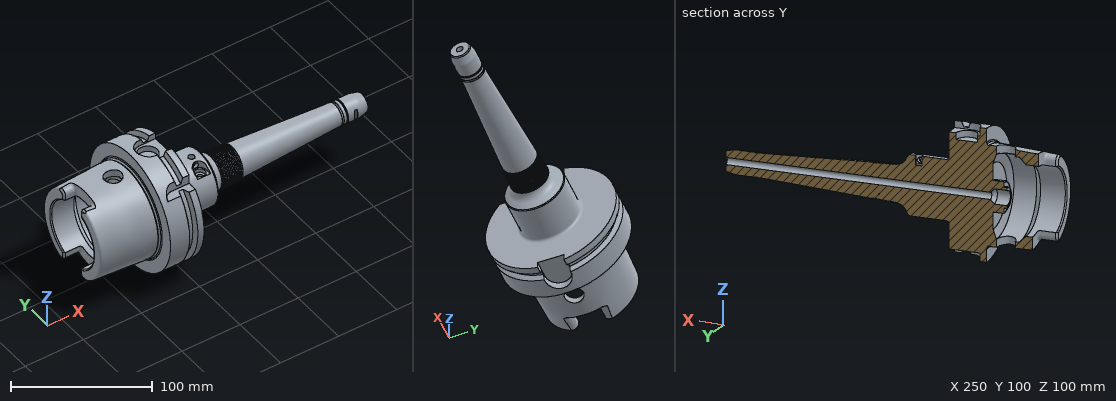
import cadquery as cq
import math

TOTAL_LENGTH = 250.0

SHANK_LENGTH = 50.0
SHANK_TIP_RADIUS = 35.8
SHANK_ROOT_RADIUS = 38.0
SHANK_RIM_FILLET = 2.0
UNDERCUT_START = 47.5
UNDERCUT_RADIUS = 37.5
UNDERCUT_BEVEL = 0.8
UNDERCUT_FILLET = 1.2
UNDERCUT_RIM_RADIUS = 39.8

BORE_RADIUS = 26.5
BORE_CHAMFER = 1.0
BORE_STRAIGHT_DEPTH = 20.0
CLAMP_GROOVE_RADIUS = 31.5
CLAMP_GROOVE_END = 42.5
BORE_DEPTH = 45.0
BORE_FLOOR_RADIUS = 24.5

TUBE_START = 34.2
TUBE_RADIUS = 8.0
TUBE_CHAMFER = 0.5
TUBE_COLLAR_START = 36.5
TUBE_COLLAR_RADIUS = 12.0
TUBE_COLLAR_CHAMFER = 0.8
TUBE_BORE_RADIUS = 5.5
TUBE_BORE_DEPTH = 10.0
CHANNEL_RADIUS = 2.5

DRIVE_SLOT_WIDTH = 20.0
DRIVE_SLOT_FLAT_HEIGHT = 32.2
DRIVE_SLOT_LIP_RADIUS = 4.2
DRIVE_SLOT_FLOOR_FILLET = 2.0
DRIVE_SLOT_MOUTH_CHAMFER = 1.5
UPPER_SLOT_DEPTH = 10.2
LOWER_SLOT_DEPTH = 15.0

CROSS_HOLE_DIAMETER = 14.0
CROSS_HOLE_X = 35.2

FLANGE_RADIUS = 50.0
FLANGE_WIDTH = 29.0
FLANGE_END = SHANK_LENGTH + FLANGE_WIDTH
GROOVE_CENTER = SHANK_LENGTH + 20.0
GROOVE_FLOOR_RADIUS = 46.2
GROOVE_FLOOR_WIDTH = 3.5
GROOVE_MOUTH_WIDTH = 7.0

KEYWAY_WIDTH = 20.0
KEYWAY_CENTER_X = 65.2
KEYWAY_FLOOR = 43.8
CHIP_HOLE_DIAMETER = 16.0
CHIP_HOLE_DEPTH = 5.0

NOTCH_OFFSET = 31.2
NOTCH_START = 55.5
NOTCH_CORNER_RADIUS = 8.5

NECK_RADIUS = 23.0
NECK_FILLET = 2.2
NECK_END = 109.5
SHOULDER_TOP_X = 110.2
SHOULDER_TOP_RADIUS = 22.5
SHOULDER_ARC_X = 112.0
SHOULDER_ARC_START_RADIUS = 19.5

SCREW_X = 102.0
SCREW_Y = -11.8
SEAT_DIAMETER = 11.0
SEAT_FLOOR = 15.8
SCREW_HOLE_DIAMETER = 8.5
SCREW_HOLE_FLOOR = 12.5
SOCKET_DIAMETER = 4.0
SOCKET_FLOOR = 10.5
LINK_HOLE_DIAMETER = 4.5
LINK_HOLE_Z = 18.5

PIN_HOLE_DIAMETER = 5.0
PIN_HOLE_Y = -1.0
PIN_HOLE_FLOOR = 15.8

STEM_START = 119.0
STEM_ROOT_RADIUS = 14.8
STEM_TAPER_END = 221.8
STEM_TIP_RADIUS = 9.5
NOSE_START = 242.5
NOSE_RADIUS = 8.0
NOSE_CHAMFER = 0.8

RING_COUNT = 8
RING_PITCH = 2.5
RING_WIDTH = 1.2
RING_DEPTH = 0.5
TIP_RINGS = ((226.2, 1.5), (230.5, 1.0))
TIP_RING_DEPTH = 0.2

RELIEF_START = 236.5
RELIEF_END = 239.5
RELIEF_DEPTH = 1.0


def revolve_x(profile):
    """Revolve a profile drawn as (x, radius) a full turn about the X axis."""
    return profile.close().revolve(360, (0, 0, 0), (1, 0, 0))


def ring(start, width, inner_radius, outer_radius):
    """Square-sided ring around the X axis."""
    tube = cq.Workplane("YZ", origin=(start, 0, 0)).circle(outer_radius).circle(inner_radius)
    return tube.extrude(width)


def vertical_hole(x, y, diameter, floor):
    """Blind hole from above down to the given floor height."""
    return cq.Workplane("XY", origin=(x, y, floor)).circle(diameter / 2).extrude(FLANGE_RADIUS - floor)


def stem_radius(x):
    """Radius of the tapered stem at position x."""
    slope = (STEM_TIP_RADIUS - STEM_ROOT_RADIUS) / (STEM_TAPER_END - STEM_START)
    return STEM_ROOT_RADIUS + slope * (x - STEM_START)


def make_body():
    undercut_floor = UNDERCUT_START + UNDERCUT_BEVEL
    groove_floor = GROOVE_FLOOR_WIDTH / 2
    groove_mouth = GROOVE_MOUTH_WIDTH / 2
    arc_run = STEM_START - SHOULDER_ARC_X
    arc_drop = SHOULDER_ARC_START_RADIUS - STEM_ROOT_RADIUS
    shoulder_arc = (arc_run**2 + arc_drop**2) / (2 * arc_drop)
    profile = (
        cq.Workplane("XY")
        .moveTo(0, 0)
        .lineTo(0, SHANK_TIP_RADIUS - SHANK_RIM_FILLET)
        .radiusArc((SHANK_RIM_FILLET, SHANK_TIP_RADIUS), SHANK_RIM_FILLET)
        .lineTo(UNDERCUT_START, SHANK_ROOT_RADIUS)
        .lineTo(undercut_floor, UNDERCUT_RADIUS)
        .radiusArc((undercut_floor + UNDERCUT_FILLET, UNDERCUT_RADIUS + UNDERCUT_FILLET), -UNDERCUT_FILLET)
        .lineTo(SHANK_LENGTH, UNDERCUT_RIM_RADIUS)
        .lineTo(SHANK_LENGTH, FLANGE_RADIUS)
        .lineTo(GROOVE_CENTER - groove_mouth, FLANGE_RADIUS)
        .lineTo(GROOVE_CENTER - groove_floor, GROOVE_FLOOR_RADIUS)
        .lineTo(GROOVE_CENTER + groove_floor, GROOVE_FLOOR_RADIUS)
        .lineTo(GROOVE_CENTER + groove_mouth, FLANGE_RADIUS)
        .lineTo(FLANGE_END, FLANGE_RADIUS)
        .lineTo(FLANGE_END, NECK_RADIUS + NECK_FILLET)
        .radiusArc((FLANGE_END + NECK_FILLET, NECK_RADIUS), -NECK_FILLET)
        .lineTo(NECK_END, NECK_RADIUS)
        .lineTo(SHOULDER_TOP_X, SHOULDER_TOP_RADIUS)
        .lineTo(SHOULDER_ARC_X, SHOULDER_ARC_START_RADIUS)
        .radiusArc((STEM_START, STEM_ROOT_RADIUS), -shoulder_arc)
        .lineTo(STEM_TAPER_END, STEM_TIP_RADIUS)
        .lineTo(NOSE_START, STEM_TIP_RADIUS)
        .lineTo(TOTAL_LENGTH - NOSE_CHAMFER, NOSE_RADIUS)
        .lineTo(TOTAL_LENGTH, NOSE_RADIUS - NOSE_CHAMFER)
        .lineTo(TOTAL_LENGTH, 0)
    )
    return revolve_x(profile)


def make_cavity():
    """Hollow of the shank: bore, wider clamping groove and sloped floor edge."""
    return revolve_x(
        cq.Workplane("XY")
        .moveTo(0, 0)
        .lineTo(0, BORE_RADIUS + BORE_CHAMFER)
        .lineTo(BORE_CHAMFER, BORE_RADIUS)
        .lineTo(BORE_STRAIGHT_DEPTH, BORE_RADIUS)
        .lineTo(BORE_STRAIGHT_DEPTH + CLAMP_GROOVE_RADIUS - BORE_RADIUS, CLAMP_GROOVE_RADIUS)
        .lineTo(CLAMP_GROOVE_END, CLAMP_GROOVE_RADIUS)
        .lineTo(BORE_DEPTH, BORE_FLOOR_RADIUS)
        .lineTo(BORE_DEPTH, 0)
    )


def make_tube():
    """Coolant tube with its collar, rooted just below the cavity floor."""
    root = BORE_DEPTH + 2.5
    return revolve_x(
        cq.Workplane("XY")
        .moveTo(TUBE_START, 0)
        .lineTo(TUBE_START, TUBE_RADIUS - TUBE_CHAMFER)
        .lineTo(TUBE_START + TUBE_CHAMFER, TUBE_RADIUS)
        .lineTo(TUBE_COLLAR_START, TUBE_RADIUS)
        .lineTo(TUBE_COLLAR_START, TUBE_COLLAR_RADIUS - TUBE_COLLAR_CHAMFER)
        .lineTo(TUBE_COLLAR_START + TUBE_COLLAR_CHAMFER, TUBE_COLLAR_RADIUS)
        .lineTo(root, TUBE_COLLAR_RADIUS)
        .lineTo(root, 0)
    )


def make_channel():
    """Tube bore that funnels down to the coolant channel through the stem."""
    funnel_start = TUBE_START + TUBE_BORE_DEPTH
    funnel_end = funnel_start + TUBE_BORE_RADIUS - CHANNEL_RADIUS
    return revolve_x(
        cq.Workplane("XY")
        .moveTo(TUBE_START, 0)
        .lineTo(TUBE_START, TUBE_BORE_RADIUS)
        .lineTo(funnel_start, TUBE_BORE_RADIUS)
        .lineTo(funnel_end, CHANNEL_RADIUS)
        .lineTo(TOTAL_LENGTH, CHANNEL_RADIUS)
        .lineTo(TOTAL_LENGTH, 0)
    )


def drive_slot_outline():
    """Cross-section of the upper drive slot, widening over rounded lips onto flats."""
    half = DRIVE_SLOT_WIDTH / 2
    lip = DRIVE_SLOT_LIP_RADIUS
    flat = DRIVE_SLOT_FLAT_HEIGHT
    return (
        cq.Workplane("YZ")
        .moveTo(-half, 0)
        .lineTo(-half, flat - lip)
        .radiusArc((-half - lip, flat), -lip)
        .lineTo(-FLANGE_RADIUS, flat)
        .lineTo(-FLANGE_RADIUS, FLANGE_RADIUS)
        .lineTo(FLANGE_RADIUS, FLANGE_RADIUS)
        .lineTo(FLANGE_RADIUS, flat)
        .lineTo(half + lip, flat)
        .radiusArc((half, flat - lip), -lip)
        .lineTo(half, 0)
        .close()
    )


def make_drive_slot(depth):
    """Upper drive slot with filleted floor corners and a chamfered mouth."""
    slot = drive_slot_outline().extrude(depth)
    chamfer = DRIVE_SLOT_MOUTH_CHAMFER
    mouth = drive_slot_outline().offset2D(chamfer).extrude(chamfer, taper=45)
    flare = DRIVE_SLOT_WIDTH / 2 + DRIVE_SLOT_LIP_RADIUS
    margin = 0.2
    floor_corners = cq.selectors.BoxSelector(
        (depth - margin, -flare - margin, margin),
        (depth + margin, flare + margin, DRIVE_SLOT_FLAT_HEIGHT + margin),
    )
    return slot.faces(">X").edges(floor_corners).fillet(DRIVE_SLOT_FLOOR_FILLET).union(mouth)


def make_keyway():
    """Round-ended keyway in the top of the flange, open toward the neck."""
    height = FLANGE_RADIUS - KEYWAY_FLOOR
    run = FLANGE_END - KEYWAY_CENTER_X
    round_end = vertical_hole(KEYWAY_CENTER_X, 0, KEYWAY_WIDTH, KEYWAY_FLOOR)
    straight = cq.Workplane("XY").box(run, KEYWAY_WIDTH, height, centered=(False, True, False))
    return round_end.union(straight.translate((KEYWAY_CENTER_X, 0, KEYWAY_FLOOR)))


def make_notch():
    """Right-angled notch in the -Y, +Z corner of the flange."""
    size = FLANGE_RADIUS - NOTCH_OFFSET
    length = FLANGE_END - NOTCH_START
    block = cq.Workplane("XY").box(length, size, size, centered=False)
    block = block.edges("|Z and <X and >Y").fillet(NOTCH_CORNER_RADIUS)
    return block.translate((NOTCH_START, -FLANGE_RADIUS, NOTCH_OFFSET))


def make_screw_recess():
    """Stepped screw seat, open toward -Y, and the small hole that links it with the pin hole."""
    seat = vertical_hole(SCREW_X, SCREW_Y, SEAT_DIAMETER, SEAT_FLOOR)
    opening = cq.Workplane("XY").box(
        SEAT_DIAMETER, NECK_RADIUS + SCREW_Y, NECK_RADIUS - SEAT_FLOOR, centered=(True, False, False)
    )
    opening = opening.translate((SCREW_X, -NECK_RADIUS, SEAT_FLOOR))
    screw_hole = vertical_hole(SCREW_X, SCREW_Y, SCREW_HOLE_DIAMETER, SCREW_HOLE_FLOOR)
    socket = vertical_hole(SCREW_X, SCREW_Y, SOCKET_DIAMETER, SOCKET_FLOOR)
    link_start = cq.Workplane("XZ", origin=(SCREW_X, PIN_HOLE_Y, LINK_HOLE_Z))
    link = link_start.circle(LINK_HOLE_DIAMETER / 2).extrude(PIN_HOLE_Y - SCREW_Y)
    return seat.union(opening).union(screw_hole).union(socket).union(link)


def make_relief():
    """Flat facing -Y, entered over a 45 degree wall and ending in a square one."""
    return (
        cq.Workplane("XY")
        .moveTo(RELIEF_START, -STEM_TIP_RADIUS)
        .lineTo(RELIEF_END, -STEM_TIP_RADIUS)
        .lineTo(RELIEF_END, RELIEF_DEPTH - STEM_TIP_RADIUS)
        .lineTo(RELIEF_START + RELIEF_DEPTH, RELIEF_DEPTH - STEM_TIP_RADIUS)
        .close()
        .extrude(STEM_TIP_RADIUS, both=True)
    )


body = make_body().cut(make_cavity()).union(make_tube()).cut(make_channel())

body = body.cut(make_drive_slot(UPPER_SLOT_DEPTH))
body = body.cut(make_drive_slot(LOWER_SLOT_DEPTH).mirror("XY"))

cross_hole = vertical_hole(CROSS_HOLE_X, 0, CROSS_HOLE_DIAMETER, BORE_FLOOR_RADIUS)
body = body.cut(cross_hole).cut(cross_hole.mirror("XY"))

body = body.cut(make_keyway()).cut(make_keyway().mirror("XY"))
body = body.cut(make_notch())
body = body.cut(vertical_hole(KEYWAY_CENTER_X, 0, CHIP_HOLE_DIAMETER, KEYWAY_FLOOR - CHIP_HOLE_DEPTH))

body = body.cut(make_screw_recess()).cut(
    vertical_hole(SCREW_X, PIN_HOLE_Y, PIN_HOLE_DIAMETER, PIN_HOLE_FLOOR)
)

for index in range(RING_COUNT):
    start = STEM_START + index * RING_PITCH
    body = body.cut(ring(start, RING_WIDTH, stem_radius(start) - RING_DEPTH, NECK_RADIUS))
for start, width in TIP_RINGS:
    body = body.cut(ring(start, width, STEM_TIP_RADIUS - TIP_RING_DEPTH, NECK_RADIUS))

result = body.cut(make_relief())